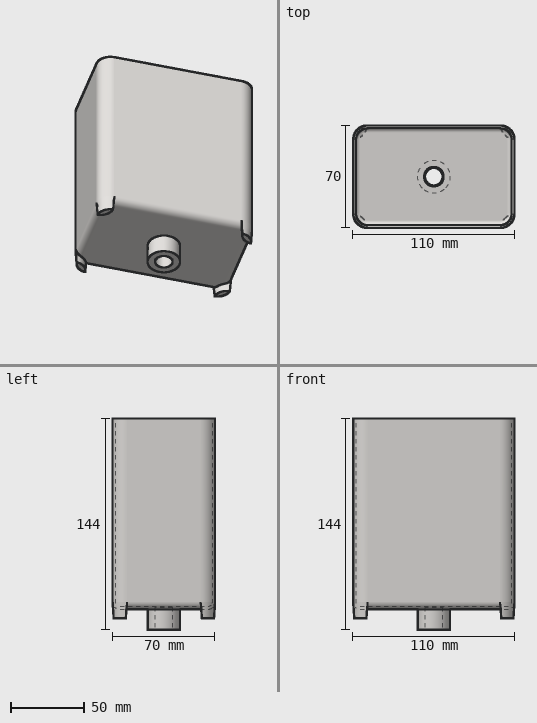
import cadquery as cq
import math

length = 110.0
width = 70.0
total_height = 144.0
wall = 2.0
corner_radius = 10.0
bottom_radius = 5.0

spout_diameter = 22.2
spout_length = 14.0
bore_diameter = 12.0
bore_mouth_diameter = 13.2

foot_drop = 6.0
foot_inset = 0.7

body_height = total_height - spout_length


def rounded_box(inset):
    """Box with rounded corners and bottom edge, inset from the outer sides and bottom."""
    return (
        cq.Workplane("XY", origin=(0, 0, inset))
        .rect(length - 2 * inset, width - 2 * inset)
        .extrude(body_height - inset)
        .edges("|Z")
        .fillet(corner_radius - inset)
        .faces("<Z")
        .edges()
        .fillet(bottom_radius - inset)
    )


def make_foot(x_side, y_side):
    """Tapered lens-shaped foot: the corner arc and its mirror image across the chord."""
    x_center = x_side * (length / 2 - corner_radius)
    y_center = y_side * (width / 2 - corner_radius)
    x_outer = x_side * length / 2
    y_outer = y_side * width / 2
    arc_reach = corner_radius * math.sqrt(0.5)
    outer_mid = (x_center + x_side * arc_reach, y_center + y_side * arc_reach)
    inner_mid = (x_outer - x_side * arc_reach, y_outer - y_side * arc_reach)
    foot_height = bottom_radius + foot_drop
    taper_angle = math.degrees(math.atan(foot_inset / foot_height))
    return (
        cq.Workplane("XY", origin=(0, 0, bottom_radius))
        .moveTo(x_outer, y_center)
        .threePointArc(outer_mid, (x_center, y_outer))
        .threePointArc(inner_mid, (x_outer, y_center))
        .close()
        .extrude(-foot_height, taper=taper_angle)
    )


def make_bore():
    """Hole through the floor and spout, chamfered where it meets the floor."""
    mouth_depth = (bore_mouth_diameter - bore_diameter) / 2
    bore = (
        cq.Workplane("XY", origin=(0, 0, -spout_length))
        .circle(bore_diameter / 2)
        .extrude(spout_length + wall)
    )
    mouth = (
        cq.Workplane("XY", origin=(0, 0, wall - mouth_depth))
        .circle(bore_diameter / 2)
        .workplane(offset=mouth_depth)
        .circle(bore_mouth_diameter / 2)
        .loft()
    )
    return bore.union(mouth)


result = rounded_box(0)
for x_side in (-1, 1):
    for y_side in (-1, 1):
        result = result.union(make_foot(x_side, y_side))

spout = cq.Workplane("XY").circle(spout_diameter / 2).extrude(-spout_length)
result = result.union(spout)

result = result.cut(rounded_box(wall)).cut(make_bore())